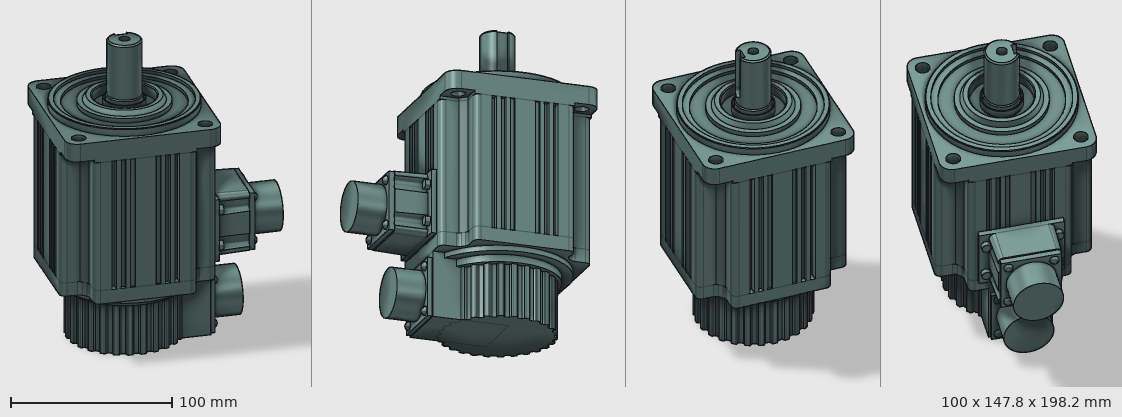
import cadquery as cq
import math


SHAFT_LENGTH = 45.0
SHAFT_RADIUS = 11.0
SHAFT_END_CHAMFER = 1.0
SHOULDER_RADIUS = 11.75
SHOULDER_TOP = 8.25
SHOULDER_CHAMFER = 0.75
KEY_WIDTH = 8.0
KEY_LENGTH = 32.0
KEY_DEPTH = 4.0
CENTRE_HOLE_DIAMETER = 6.8
CENTRE_HOLE_DEPTH = 16.0
DRILL_POINT_ANGLE = 118.0

PILOT_RADIUS = 47.5
PILOT_HEIGHT = 5.0
PILOT_CHAMFER = 0.5
RIM_INNER_RADIUS = 44.0
LEDGE_INNER_RADIUS = 39.6
LEDGE_HEIGHT = 3.0
DISH_HEIGHT = 1.0
BOSS_RADIUS = 29.5
BOSS_HEIGHT = 4.0
CONE_BASE_RADIUS = 26.0
CONE_TOP_RADIUS = 24.0
CONE_TOP_HEIGHT = 7.25
SEAL_BORE_RADIUS = 20.3
SEAL_BORE_CHAMFER = 0.7
SEAL_LIP_OUTER_RADIUS = 13.5
SEAL_LIP_INNER_RADIUS = 12.75
SEAL_LIP_HEIGHT = 5.5

WIDTH = 100.0
HALF_WIDTH = WIDTH / 2
FLANGE_THICKNESS = 12.0
FLANGE_CORNER_RADIUS = 8.0
BOLT_CIRCLE_DIAMETER = 115.0
BOLT_HOLE_DIAMETER = 9.0
NECK_BOTTOM = -14.0
STATOR_BOTTOM = -101.0
CAP_BOTTOM = -110.0
NOTCH_SIDE = 33.0
NOTCH_CHAMFER = 4.5
FRAME_ROUND = 4.0
GROOVE_WIDTH = 3.0
GROOVE_PITCH = 6.0
FIRST_GROOVE_CENTRE = 8.25
GROOVES_PER_HALF = 3
GROOVE_FLOOR_RADIUS = 49.3

UPPER_STEP_RADIUS = 47.0
UPPER_STEP_BOTTOM = -113.5
LOWER_STEP_RADIUS = 40.0
LOWER_STEP_BOTTOM = -118.25
DRUM_BOTTOM = -153.0
RIB_COUNT = 27
RIB_TIP_RADIUS = 37.5
RIB_SHOULDER_RADIUS = 36.7
RIB_ROOT_RADIUS = 35.3
RIB_TIP_HALF_WIDTH = 1.1
RIB_SHOULDER_HALF_WIDTH = 1.9
RIB_ROOT_HALF_WIDTH = 2.7
PIP_RADIUS = 0.3
PIP_HEIGHT = 0.25
PIP_X = 22.8
PIP_Y = 26.9

SOCKET_RADIUS = 16.0
SOCKET_FLANGE_SIDE = 38.4
DOME_SPACING = 29.4
DOME_RADIUS = 3.0
DOME_HEIGHT = 2.5
PAD_WIDTH = 54.4
PAD_HEIGHT = 41.8
PAD_THICKNESS = 3.5
POWER_Z = -79.65
POWER_BODY_SIDE = PAD_HEIGHT
POWER_BODY_ROUND = 4.0
POWER_BODY_DRAFT = 1.8
POWER_BODY_END = 75.0
POWER_FLANGE_THICKNESS = 3.6
POWER_SOCKET_END = 97.75
CAP_SCREW_X = 23.1
CAP_SCREW_SPACING_Z = 24.0
CAP_SCREW_RADIUS = 3.0
CAP_SCREW_HEIGHT = 3.3
SCREW_POCKET_RADIUS = 5.2
ENCODER_BLOCK_WIDTH = 40.8
ENCODER_Z = -133.2
ENCODER_FLANGE_THICKNESS = 3.0
ENCODER_SOCKET_END = 72.0


def revolved(profile):
    """Solid of revolution about Z from (radius, height) points."""
    return cq.Workplane("XZ").polyline(profile).close().revolve(360, (0, 0), (0, 1))


def disc(radius, bottom, top):
    return cq.Workplane("XY").workplane(offset=bottom).circle(radius).extrude(top - bottom)


def toward_y(start_y, centre_z):
    """Workplane facing +Y, centred on X = 0 at the given height; its local x is -X."""
    return cq.Workplane("XZ", origin=(0, start_y, centre_z)).transformed(rotate=(0, 180, 0))


def make_shaft():
    profile = [
        (0, 0),
        (SHOULDER_RADIUS, 0),
        (SHOULDER_RADIUS, SHOULDER_TOP - SHOULDER_CHAMFER),
        (SHAFT_RADIUS, SHOULDER_TOP),
        (SHAFT_RADIUS, SHAFT_LENGTH - SHAFT_END_CHAMFER),
        (SHAFT_RADIUS - SHAFT_END_CHAMFER, SHAFT_LENGTH),
        (0, SHAFT_LENGTH),
    ]
    key_radius = KEY_WIDTH / 2
    key_round_z = SHAFT_LENGTH - KEY_LENGTH + key_radius
    key_floor_x = KEY_DEPTH - SHAFT_RADIUS
    keyway = (
        cq.Workplane("YZ", origin=(key_floor_x, 0, 0))
        .moveTo(-key_radius, SHAFT_LENGTH)
        .lineTo(-key_radius, key_round_z)
        .threePointArc((0, key_round_z - key_radius), (key_radius, key_round_z))
        .lineTo(key_radius, SHAFT_LENGTH)
        .close()
        .extrude(-SHAFT_RADIUS)
    )
    hole_radius = CENTRE_HOLE_DIAMETER / 2
    hole_floor = SHAFT_LENGTH - CENTRE_HOLE_DEPTH
    point_depth = hole_radius / math.tan(math.radians(DRILL_POINT_ANGLE / 2))
    centre_hole = revolved([
        (0, SHAFT_LENGTH),
        (hole_radius, SHAFT_LENGTH),
        (hole_radius, hole_floor),
        (0, hole_floor - point_depth),
    ])
    return revolved(profile).cut(keyway).cut(centre_hole)


def make_pilot():
    """Dished pilot with the raised seal boss; its bore is open down to the mounting face."""
    return revolved([
        (SEAL_BORE_RADIUS, 0),
        (PILOT_RADIUS, 0),
        (PILOT_RADIUS, PILOT_HEIGHT - PILOT_CHAMFER),
        (PILOT_RADIUS - PILOT_CHAMFER, PILOT_HEIGHT),
        (RIM_INNER_RADIUS, PILOT_HEIGHT),
        (RIM_INNER_RADIUS, LEDGE_HEIGHT),
        (LEDGE_INNER_RADIUS, LEDGE_HEIGHT),
        (LEDGE_INNER_RADIUS, DISH_HEIGHT),
        (BOSS_RADIUS, DISH_HEIGHT),
        (BOSS_RADIUS, BOSS_HEIGHT),
        (CONE_BASE_RADIUS, BOSS_HEIGHT),
        (CONE_TOP_RADIUS, CONE_TOP_HEIGHT),
        (SEAL_BORE_RADIUS + SEAL_BORE_CHAMFER, CONE_TOP_HEIGHT),
        (SEAL_BORE_RADIUS, CONE_TOP_HEIGHT - SEAL_BORE_CHAMFER),
    ])


def make_seal_lip():
    """Thin upright ring around the shaft, with a narrow gap between them."""
    return disc(SEAL_LIP_OUTER_RADIUS, 0, SEAL_LIP_HEIGHT).cut(
        disc(SEAL_LIP_INNER_RADIUS, 0, SEAL_LIP_HEIGHT)
    )


def make_flange():
    """Square flange with four bolt holes and a short notched neck beneath it."""
    hole_spacing = BOLT_CIRCLE_DIAMETER / math.sqrt(2)
    plate = (
        cq.Workplane("XY")
        .rect(WIDTH, WIDTH)
        .extrude(-FLANGE_THICKNESS)
        .edges("|Z")
        .fillet(FLANGE_CORNER_RADIUS)
        .faces(">Z")
        .workplane()
        .rect(hole_spacing, hole_spacing, forConstruction=True)
        .vertices()
        .hole(BOLT_HOLE_DIAMETER)
    )
    return plate.union(notched_prism(NECK_BOTTOM, -FLANGE_THICKNESS))


def notched_prism(bottom, top):
    """Square prism whose four corners are cut away to clear the flange bolts."""
    notch_floor = NOTCH_SIDE + NOTCH_CHAMFER
    points = []
    for sx, sy in ((1, 1), (-1, 1), (-1, -1), (1, -1)):
        corner = [
            (sx * HALF_WIDTH, sy * NOTCH_SIDE),
            (sx * notch_floor, sy * NOTCH_SIDE),
            (sx * NOTCH_SIDE, sy * notch_floor),
            (sx * NOTCH_SIDE, sy * HALF_WIDTH),
        ]
        points += corner if sx == sy else corner[::-1]
    return cq.Workplane("XY").workplane(offset=bottom).polyline(points).close().extrude(top - bottom)


def is_notch_mouth(edge):
    centre = edge.Center()
    return max(abs(centre.x), abs(centre.y)) > HALF_WIDTH - FRAME_ROUND


def make_stator():
    """Notched prism with rounded mouths and lengthwise grooves down to a round core."""
    stator = notched_prism(STATOR_BOTTOM, NECK_BOTTOM)
    stator = stator.edges("|Z").filter(is_notch_mouth).fillet(FRAME_ROUND)
    length = NECK_BOTTOM - STATOR_BOTTOM
    centres = []
    for index in range(GROOVES_PER_HALF):
        offset = FIRST_GROOVE_CENTRE + index * GROOVE_PITCH
        centres += [(offset, 0), (-offset, 0)]
    slots = cq.Workplane("XY").workplane(offset=STATOR_BOTTOM).pushPoints(centres)
    slots = slots.rect(GROOVE_WIDTH, 2 * WIDTH).extrude(length)
    slots = slots.union(slots.rotate((0, 0, 0), (0, 0, 1), 90))
    return stator.cut(slots.cut(disc(GROOVE_FLOOR_RADIUS, STATOR_BOTTOM, NECK_BOTTOM)))


def make_cap():
    return notched_prism(CAP_BOTTOM, STATOR_BOTTOM).edges("|Z").fillet(FRAME_ROUND)


def make_ribbed_drum():
    """Encoder drum with round-edged ribs, and a small pip on its underside."""

    def placed(across, out, turn):
        angle = math.atan2(across, out) + turn
        radius = math.hypot(across, out)
        return (radius * math.sin(angle), -radius * math.cos(angle))

    root = (RIB_ROOT_HALF_WIDTH, RIB_ROOT_RADIUS)
    shoulder = (RIB_SHOULDER_HALF_WIDTH, RIB_SHOULDER_RADIUS)
    tip = (RIB_TIP_HALF_WIDTH, RIB_TIP_RADIUS)
    edge_round = (
        tip[0] + (shoulder[0] - tip[0]) * math.sqrt(0.5),
        shoulder[1] + (tip[1] - shoulder[1]) * math.sqrt(0.5),
    )
    outline = cq.Workplane("XY").workplane(offset=DRUM_BOTTOM)
    for index in range(RIB_COUNT):
        turn = 2 * math.pi * index / RIB_COUNT
        left = [placed(-across, out, turn) for across, out in (root, shoulder, edge_round, tip)]
        right = [placed(across, out, turn) for across, out in (tip, edge_round, shoulder, root)]
        outline = outline.moveTo(*left[0]) if index == 0 else outline.lineTo(*left[0])
        outline = outline.lineTo(*left[1]).threePointArc(left[2], left[3])
        outline = outline.lineTo(*right[0]).threePointArc(right[1], right[2])
        outline = outline.lineTo(*right[3])
    drum = outline.close().extrude(LOWER_STEP_BOTTOM - DRUM_BOTTOM)
    pip = disc(PIP_RADIUS, DRUM_BOTTOM - PIP_HEIGHT, DRUM_BOTTOM).translate((PIP_X, PIP_Y, 0))
    return drum.union(pip)


def make_socket(start_y, centre_z, flange_thickness, end_y):
    """Round socket on a square flange held by four dome-headed screws."""
    flange_front = start_y + flange_thickness
    socket = toward_y(start_y, centre_z).rect(SOCKET_FLANGE_SIDE, SOCKET_FLANGE_SIDE)
    socket = socket.extrude(flange_thickness)
    barrel = toward_y(flange_front, centre_z).circle(SOCKET_RADIUS).extrude(end_y - flange_front)
    socket = socket.union(barrel)
    ball_radius = (DOME_RADIUS**2 + DOME_HEIGHT**2) / (2 * DOME_HEIGHT)
    for side in (-1, 1):
        for level in (-1, 1):
            dome = cq.Workplane("XY").sphere(ball_radius).translate((
                side * DOME_SPACING / 2,
                flange_front + DOME_HEIGHT - ball_radius,
                centre_z + level * DOME_SPACING / 2,
            ))
            inside = toward_y(start_y, centre_z).rect(WIDTH, WIDTH).extrude(end_y - start_y)
            socket = socket.union(dome.intersect(inside))
    return socket


def make_power_connector():
    """Mounting pad, tapered body with screw pockets, and the power socket."""
    pad_front = HALF_WIDTH + PAD_THICKNESS
    pad = toward_y(HALF_WIDTH, POWER_Z).rect(PAD_WIDTH, PAD_HEIGHT).extrude(PAD_THICKNESS)
    base = cq.Sketch().rect(POWER_BODY_SIDE, POWER_BODY_SIDE).vertices().fillet(POWER_BODY_ROUND)
    body_length = POWER_BODY_END - pad_front
    body = toward_y(pad_front, POWER_Z).placeSketch(base).extrude(body_length, taper=POWER_BODY_DRAFT)
    screw_places = toward_y(pad_front, POWER_Z).rect(
        2 * CAP_SCREW_X, CAP_SCREW_SPACING_Z, forConstruction=True
    ).vertices()
    pockets = screw_places.circle(SCREW_POCKET_RADIUS).extrude(body_length)
    screws = screw_places.circle(CAP_SCREW_RADIUS).extrude(CAP_SCREW_HEIGHT)
    socket = make_socket(POWER_BODY_END, POWER_Z, POWER_FLANGE_THICKNESS, POWER_SOCKET_END)
    return pad.union(body.cut(pockets)).union(screws).union(socket)


def make_encoder_connector():
    """Block from the drum to the +Y side, carrying the encoder socket."""
    height = CAP_BOTTOM - DRUM_BOTTOM
    block = cq.Workplane("XY").box(
        ENCODER_BLOCK_WIDTH, HALF_WIDTH, height, centered=(True, False, False)
    ).translate((0, 0, DRUM_BOTTOM))
    return block.union(make_socket(HALF_WIDTH, ENCODER_Z, ENCODER_FLANGE_THICKNESS, ENCODER_SOCKET_END))


def make_housing():
    parts = [
        make_pilot(),
        make_seal_lip(),
        make_stator(),
        make_cap(),
        disc(UPPER_STEP_RADIUS, UPPER_STEP_BOTTOM, CAP_BOTTOM),
        disc(LOWER_STEP_RADIUS, LOWER_STEP_BOTTOM, UPPER_STEP_BOTTOM),
        make_ribbed_drum(),
        make_power_connector(),
        make_encoder_connector(),
    ]
    housing = make_flange()
    for part in parts:
        housing = housing.union(part, clean=False)
    return housing


shaft = make_shaft()
housing = make_housing()

result = cq.Compound.makeCompound([housing.val(), shaft.val()])